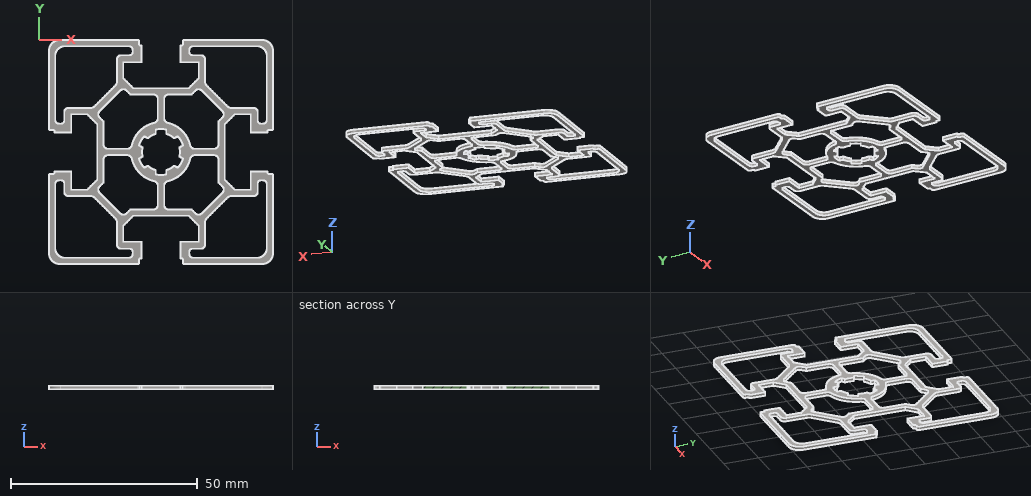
import cadquery as cq
import math

side = 60.0
thickness = 1.0
outer_radius = 3.0
half = side / 2

wall = 1.75
diagonal_wall = wall * math.sqrt(2)

mouth_half = 5.8
throat_half = 5.15
mouth_depth = 1.5
mouth_step_radius = 0.3
mouth_radius = 0.5
lip_radius = 0.25
slot_overshoot = 3.0
lip_height = 24.0
slot_half = 10.1
slot_floor = 17.1
slot_chamfer = 2.65

pocket_end = 7.6
pocket_gap = 2.35
pocket_outer_radius = 2.5
pocket_end_outer_radius = 0.95
pocket_end_inner_radius = 0.7
hook_radius = 1.2
pocket_bend_radius = 1.5
pocket_diagonal = 30.0

cell_diagonal = 27.3
cell_peak_radius = 1.2
cell_radius = 1.2

hub_radius = 8.05
bore_radius = 5.05
groove_radius = 6.1
groove_half = 1.4
groove_count = 6


def prism(points):
    """Upright block over a closed outline, standing on the plate's underside."""
    return cq.Workplane("XY").polyline(points).close().extrude(thickness)


def round_corners(body, corners, radius):
    """Round the upright edges of a body that stand on the given corners."""
    for x, y in corners:
        edge = cq.selectors.NearestToPointSelector((x, y, thickness / 2))
        body = body.edges("|Z").edges(edge).fillet(radius)
    return body


def with_mirrored(points):
    """Complete an outline with its reflection across the line y = x."""
    return points + [(y, x) for x, y in reversed(points)]


def cut_around(body, tool):
    """Cut the tool from the body at each quarter turn."""
    for quarter in range(4):
        body = body.cut(tool.rotate((0, 0, 0), (0, 0, 1), 90 * quarter))
    return body


def make_slot():
    """T-slot cutter for the +Y side, flaring at the mouth so the mouth corners come out rounded."""
    step_height = half - mouth_depth
    lip = (throat_half, step_height)
    step = (mouth_half, step_height)
    mouth = (mouth_half, half)
    right = [
        (slot_half - slot_chamfer, slot_floor),
        (slot_half, slot_floor + slot_chamfer),
        (slot_half, lip_height),
        (throat_half, lip_height),
        lip,
        step,
        mouth,
        (slot_half, half),
        (slot_half, half + slot_overshoot),
    ]
    left = [(-x, y) for x, y in reversed(right)]
    body = prism(right + left)
    for (x, y), radius in ((lip, lip_radius), (step, mouth_step_radius), (mouth, mouth_radius)):
        body = round_corners(body, [(x, y), (-x, y)], radius)
    return body


def make_corner_pocket():
    """Hollow of the (+X, +Y) corner, with arms reaching behind the neighbouring lips."""
    outer = half - wall
    inner = outer - pocket_gap
    hook = slot_half + wall
    outer_corner = (outer, outer)
    top_end = (pocket_end, outer)
    bottom_end = (pocket_end, inner)
    hook_corner = (hook, inner)
    bend = (hook, pocket_diagonal - hook)
    arm = [top_end, bottom_end, hook_corner, bend]
    body = prism([outer_corner] + with_mirrored(arm))
    body = round_corners(body, [outer_corner], pocket_outer_radius)
    body = round_corners(body, with_mirrored([top_end]), pocket_end_outer_radius)
    body = round_corners(body, with_mirrored([bottom_end]), pocket_end_inner_radius)
    body = round_corners(body, with_mirrored([hook_corner]), hook_radius)
    return round_corners(body, with_mirrored([bend]), pocket_bend_radius)


def make_cell():
    """Opening between two ribs, the hub and the two nearest slots."""
    rib_face = wall / 2
    roof = slot_floor - wall
    chamfer_offset = slot_floor - slot_half + slot_chamfer - diagonal_wall
    peak = ((cell_diagonal - chamfer_offset) / 2, (cell_diagonal + chamfer_offset) / 2)
    roof_bend = (roof - chamfer_offset, roof)
    rib_top = (rib_face, roof)
    outline = [(rib_face, rib_face)] + with_mirrored([rib_top, roof_bend, peak])
    hub = cq.Workplane("XY").circle(hub_radius).extrude(thickness)
    body = prism(outline).cut(hub)
    hub_corner = (rib_face, math.sqrt(hub_radius**2 - rib_face**2))
    body = round_corners(body, with_mirrored([peak]), cell_peak_radius)
    return round_corners(body, with_mirrored([rib_top, hub_corner]), cell_radius)


def make_bore():
    """Central bore with evenly spaced parallel-sided grooves."""
    body = cq.Workplane("XY").circle(bore_radius).extrude(thickness)
    groove_limit = cq.Workplane("XY").circle(groove_radius).extrude(thickness)
    for turn in range(groove_count // 2):
        groove_pair = (
            cq.Workplane("XY")
            .rect(2 * groove_half, 2 * hub_radius)
            .extrude(thickness)
            .rotate((0, 0, 0), (0, 0, 1), turn * 360 / groove_count)
        )
        body = body.union(groove_pair.intersect(groove_limit))
    return body


plate = cq.Workplane("XY").rect(side, side).extrude(thickness).edges("|Z").fillet(outer_radius)
plate = cut_around(plate, make_slot())
plate = cut_around(plate, make_corner_pocket())
plate = cut_around(plate, make_cell())
result = plate.cut(make_bore())